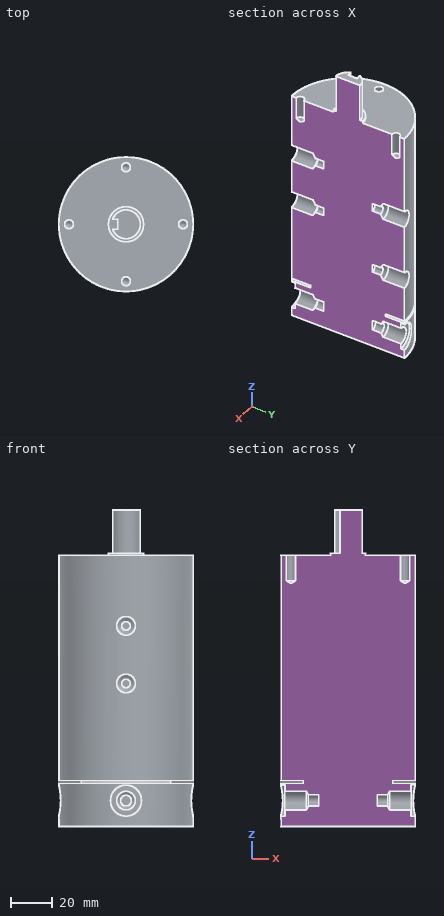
import cadquery as cq
import math

total_height = 153.1
body_top = 131.2
base_height = 21.0
groove_width = 1.0

body_diameter = 65.0
neck_diameter = 43.5
collar_diameter = 17.0
shaft_diameter = 14.0
collar_height = 1.0

key_width = 5.0
key_floor_offset = 4.0

base_port_z = 12.5
spotface_diameter = 15.0
spotface_depth = 2.0
base_port_diameter = 9.0
base_port_depth = 12.2
base_passage_diameter = 5.2
base_passage_depth = 18.4
base_port_angles = (0, 90, 180, 270)

front_port_heights = (69.2, 97.0)
rear_port_heights = (46.5, 83.0)
front_port_angle = 270
rear_port_angle = 90
body_port_diameter = 9.0
body_port_depth = 12.2
body_passage_diameter = 4.1
body_passage_depth = 18.4

mount_count = 4
mount_circle_radius = 27.5
mount_diameter = 4.3
mount_depth = 12.2

point_half_angle = math.radians(59)

body_radius = body_diameter / 2


def cylinder(diameter, bottom, top):
    """Upright cylinder about the Z axis between two heights."""
    return cq.Workplane("XY").workplane(offset=bottom).circle(diameter / 2).extrude(top - bottom)


def cone_length(large_diameter, small_diameter):
    """Axial length of a drill-point cone between two diameters."""
    return (large_diameter - small_diameter) / 2 / math.tan(point_half_angle)


def port_cutter(diameter, depth, passage_diameter, passage_depth):
    """Bore along +X from the surface, coned down to a narrower blind passage."""
    mouth = body_radius
    bore_end = body_radius - depth
    cone_end = bore_end - cone_length(diameter, passage_diameter)
    passage_end = body_radius - passage_depth
    return (
        cq.Workplane("XZ")
        .moveTo(mouth, 0)
        .lineTo(mouth, diameter / 2)
        .lineTo(bore_end, diameter / 2)
        .lineTo(cone_end, passage_diameter / 2)
        .lineTo(passage_end, passage_diameter / 2)
        .lineTo(passage_end, 0)
        .close()
        .revolve(360, (0, 0, 0), (1, 0, 0))
    )


def place(cutter, angle, height):
    """Turn a cutter about Z and lift it to its height."""
    return cutter.rotate((0, 0, 0), (0, 0, 1), angle).translate((0, 0, height))


def mount_cutter():
    """Drilled blind hole with a pointed bottom, hanging down from the top face."""
    radius = mount_diameter / 2
    return (
        cq.Workplane("XZ")
        .lineTo(radius, 0)
        .lineTo(radius, -mount_depth)
        .lineTo(0, -mount_depth - cone_length(mount_diameter, 0))
        .close()
        .revolve(360, (0, 0, 0), (0, 1, 0))
        .translate((mount_circle_radius, 0, 0))
    )


body_bottom = base_height + groove_width
collar_top = body_top + collar_height
result = (
    cylinder(body_diameter, 0, base_height)
    .union(cylinder(neck_diameter, base_height, body_bottom))
    .union(cylinder(body_diameter, body_bottom, body_top))
    .union(cylinder(collar_diameter, body_top, collar_top))
    .union(cylinder(shaft_diameter, collar_top, total_height))
)

key_depth = shaft_diameter / 2 - key_floor_offset
keyway = (
    cq.Workplane("XY")
    .box(key_depth, key_width, total_height - collar_top, centered=(False, True, False))
    .translate((-shaft_diameter / 2, 0, collar_top))
)
result = result.cut(keyway)

spotface = (
    cq.Workplane("YZ")
    .workplane(offset=body_radius - spotface_depth)
    .circle(spotface_diameter / 2)
    .extrude(spotface_depth)
)
base_port = port_cutter(base_port_diameter, base_port_depth, base_passage_diameter, base_passage_depth)
base_port = base_port.union(spotface)
for angle in base_port_angles:
    result = result.cut(place(base_port, angle, base_port_z))

body_port = port_cutter(body_port_diameter, body_port_depth, body_passage_diameter, body_passage_depth)
for height in front_port_heights:
    result = result.cut(place(body_port, front_port_angle, height))
for height in rear_port_heights:
    result = result.cut(place(body_port, rear_port_angle, height))

for index in range(mount_count):
    result = result.cut(place(mount_cutter(), index * 360 / mount_count, body_top))